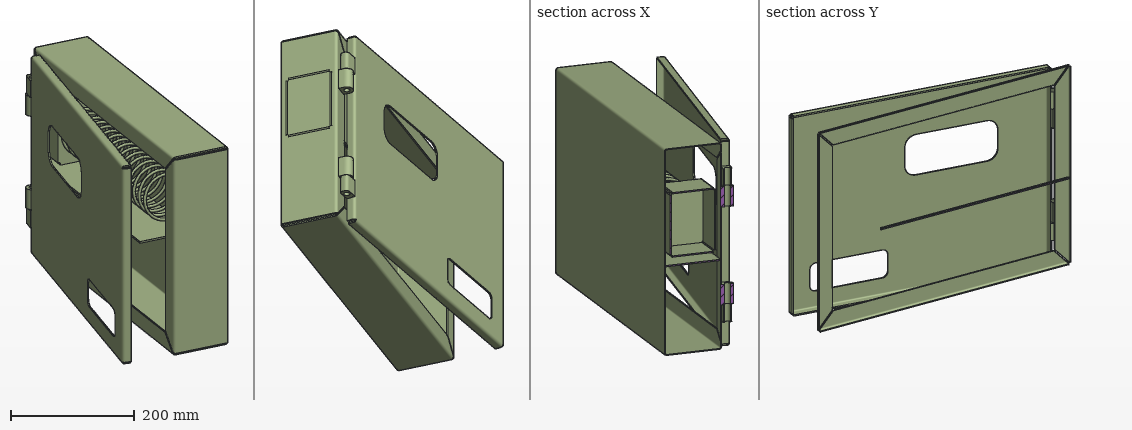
import cadquery as cq
sheet = 2.5
bend_radius = 5.0
notch_size = 4.0

cabinet_width = 500.0
cabinet_depth = 100.0
middle_y = cabinet_depth / 2
height = 350.0
rim_width = 30.0
miter_gap = 2.5

pivot_x = 16.5
pivot_y = -10.0
pin_hole_diameter = 10.0
knuckle_radius = 10.5
knuckle_height = 35.0
lug_height = 30.0
lug_reach = 11.0
lug_corner_radius = 5.5
hinge_joint_offset = 100.0

open_angle = 8.6
door_start = 13.5
door_width = 470.0
door_depth = 15.0

view_window_start = 91.0
view_window_width = 168.5
view_window_bottom = 200.0
view_window_height = 71.0
view_window_radius = 20.0
pickup_window_start = 290.0
pickup_window_width = 141.0
pickup_window_bottom = 31.0
pickup_window_height = 49.0
pickup_window_radius = 10.0

motor_sheet = 3.0
motor_corner_gap = 1.5
motor_length = 69.5
motor_depth = 80.0
motor_height = 110.0
motor_z = 220.0

wire_diameter = 5.0
coil_radius = 37.5
coil_pitch = 19.4
coil_turns = 15.75
coil_start_angle = 90.0
coil_z = 221.5

shelf_top = 153.0
shelf_end = 375.0
shelf_thickness = 3.0


def block(x0, x1, y0, y1, z0, z1):
    """Axis-aligned block between two opposite corners."""
    return cq.Workplane("XY").box(x1 - x0, y1 - y0, z1 - z0, centered=False).translate((x0, y0, z0))


def corner_notches(x0, x1, y0, y1):
    """Square relief notches that open the four corners between neighbouring walls."""
    centers = [
        (x, z)
        for x in (x0 + notch_size / 2, x1 - notch_size / 2)
        for z in (notch_size / 2, height - notch_size / 2)
    ]
    return (
        cq.Workplane("XZ", origin=(0, y1, 0))
        .pushPoints(centers)
        .rect(notch_size, notch_size)
        .extrude(y1 - y0)
    )


def miter_slit(corner_x, corner_z, toward_x, toward_z):
    """Diagonal slit through the rim, running inwards from one cabinet corner."""
    reach = rim_width + bend_radius
    half = miter_gap / 2**0.5
    outline = [
        (corner_x + toward_x * half, corner_z),
        (corner_x + toward_x * (reach + half), corner_z + toward_z * reach),
        (corner_x + toward_x * reach, corner_z + toward_z * (reach + half)),
        (corner_x, corner_z + toward_z * half),
    ]
    return cq.Workplane("XZ", origin=(0, sheet, 0)).polyline(outline).close().extrude(sheet)


def motor_walls(length):
    """Four side walls of the motor housing, open at their corners."""
    y0 = middle_y - motor_depth / 2
    y1 = middle_y + motor_depth / 2
    z0 = motor_z - motor_height / 2
    z1 = motor_z + motor_height / 2
    t = motor_sheet
    inset = t + motor_corner_gap
    front = block(0, length, y0, y0 + t, z0 + inset, z1 - inset)
    back = block(0, length, y1 - t, y1, z0 + inset, z1 - inset)
    bottom = block(0, length, y0 + inset, y1 - inset, z0, z0 + t)
    top = block(0, length, y0 + inset, y1 - inset, z1 - t, z1)
    return [front, back, bottom, top]


def make_knuckle(z0):
    """U-shaped hinge knuckle on the cabinet rim, bored for the pin."""
    r = knuckle_radius
    return (
        cq.Workplane("XY", origin=(pivot_x, pivot_y, z0))
        .moveTo(-r, -pivot_y)
        .lineTo(-r, 0)
        .threePointArc((0, -r), (r, 0))
        .lineTo(r, -pivot_y)
        .close()
        .extrude(knuckle_height)
        .faces(">Z").workplane(origin=(pivot_x, pivot_y, 0))
        .hole(pin_hole_diameter)
    )


def make_cabinet():
    outer = block(0, cabinet_width, 0, cabinet_depth, 0, height)
    outer = outer.faces("<Y or >Y").edges().fillet(bend_radius)
    inner = block(sheet, cabinet_width - sheet, sheet, cabinet_depth - sheet, sheet, height - sheet)
    inner = inner.faces("<Y or >Y").edges().fillet(bend_radius - sheet)
    opening = block(
        rim_width, cabinet_width - rim_width, 0, cabinet_depth / 2, rim_width, height - rim_width
    )
    cabinet = outer.cut(inner).cut(opening)
    cabinet = cabinet.cut(corner_notches(0, cabinet_width, 0, cabinet_depth))
    for corner_x, toward_x in ((0, 1), (cabinet_width, -1)):
        for corner_z, toward_z in ((0, 1), (height, -1)):
            cabinet = cabinet.cut(miter_slit(corner_x, corner_z, toward_x, toward_z))
    for wall in motor_walls(sheet):
        cabinet = cabinet.cut(wall)
    middle = height / 2
    cabinet = cabinet.union(make_knuckle(middle + hinge_joint_offset - knuckle_height))
    return cabinet.union(make_knuckle(middle - hinge_joint_offset))


def make_lug(z0):
    """Hinge lug on the door, bored for the pin, with its free corners rounded."""
    return (
        block(-lug_reach, door_start, -door_depth / 2, door_depth / 2, z0, z0 + lug_height)
        .edges("|Z and <X").fillet(lug_corner_radius)
        .faces(">Z").workplane(origin=(0, 0, 0))
        .hole(pin_hole_diameter)
    )


def make_window(start, width, bottom, window_height, radius):
    """Rounded cutter through the door face."""
    x0 = door_start + start
    front = -door_depth / 2
    cutter = block(x0, x0 + width, front, front + sheet, bottom, bottom + window_height)
    return cutter.edges("|Y").fillet(radius)


def make_door():
    x0 = door_start
    x1 = door_start + door_width
    y0 = -door_depth / 2
    y1 = door_depth / 2
    outer = block(x0, x1, y0, y1, 0, height).faces("<Y").edges().fillet(bend_radius)
    inner = block(x0 + sheet, x1 - sheet, y0 + sheet, y1, sheet, height - sheet)
    inner = inner.faces("<Y").edges().fillet(bend_radius - sheet)
    door = outer.cut(inner).cut(corner_notches(x0, x1, y0, y1))
    door = door.cut(make_window(
        view_window_start, view_window_width,
        view_window_bottom, view_window_height, view_window_radius,
    ))
    door = door.cut(make_window(
        pickup_window_start, pickup_window_width,
        pickup_window_bottom, pickup_window_height, pickup_window_radius,
    ))
    middle = height / 2
    door = door.union(make_lug(middle + hinge_joint_offset))
    door = door.union(make_lug(middle - hinge_joint_offset - lug_height))
    return door.rotate((0, 0, 0), (0, 0, 1), -open_angle).translate((pivot_x, pivot_y, 0))


def make_motor_housing():
    """Motor housing: an end plate carried by four walls that pass through slots in the cabinet."""
    t = motor_sheet
    housing = block(
        motor_length - t, motor_length,
        middle_y - motor_depth / 2 + t, middle_y + motor_depth / 2 - t,
        motor_z - motor_height / 2 + t, motor_z + motor_height / 2 - t,
    )
    for wall in motor_walls(motor_length):
        housing = housing.union(wall)
    return housing


def make_coil():
    """Round wire wound around an axis along X, starting against the motor housing."""
    path = cq.Workplane(cq.Wire.makeHelix(coil_pitch, coil_pitch * coil_turns, coil_radius))
    coil = (
        cq.Workplane("XZ", origin=(coil_radius, 0, 0))
        .circle(wire_diameter / 2)
        .sweep(path, isFrenet=True)
    )
    start_x = motor_length + wire_diameter / 2
    coil = coil.rotate((0, 0, 0), (0, 1, 0), 90)
    coil = coil.rotate((0, 0, 0), (1, 0, 0), coil_start_angle)
    return coil.translate((start_x, middle_y, coil_z))


def make_shelf():
    """Flat shelf between the rim and the back, its left corners following the bends there."""
    shelf = block(
        sheet, shelf_end, sheet, cabinet_depth - sheet, shelf_top - shelf_thickness, shelf_top
    )
    return shelf.edges("|Z and <X").fillet(bend_radius - sheet)


cabinet = make_cabinet()
door = make_door()
motor_housing = make_motor_housing()
coil = make_coil()
shelf = make_shelf()

bodies = [cabinet, door, motor_housing, coil, shelf]
result = cq.Compound.makeCompound([body.solids().val() for body in bodies])